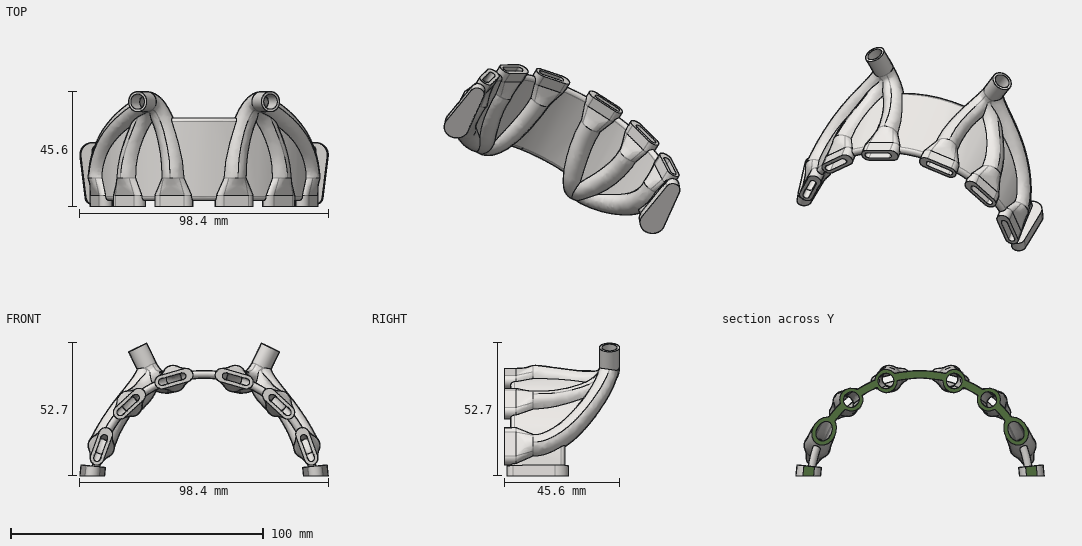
import cadquery as cq
import math

ARCH_RADIUS = 43.3
ARCH_CENTER_Z = -3.0
ARCH_THICKNESS = 3.1
ARCH_FRONT_Y = 2.4
CROWN_BACK_Y = 35.2
LEG_BACK_Y = 24.0
LEG_STEP_Z = 13.0
CROWN_STEP_Z = 28.0
ARCH_BOTTOM_Z = 1.5

FOOT_X = 44.28
FOOT_BACK_RADIUS = 4.9
FOOT_FRONT_RADIUS = 2.85
FOOT_FRONT_Y = 0.95
FOOT_BACK_Y = 25.4
FOOT_HEIGHT = 4.0
FOOT_TILT = 6.0

FIRST_PORT_ANGLE = 16.0
PORT_PITCH = 27.0
PORT_CORE = 10.05
PORT_RADIUS = 2.7
PORT_DEPTH = 4.5
SLOT_CORE = 8.6
SLOT_RADIUS = 1.3
SLOT_SHIFT = (PORT_CORE - SLOT_CORE) / 2

RUNNER_START_Y = 11.3
RUNNER_RADIAL = 5.3
RUNNER_TANGENTIAL = 4.7
RUNNER_SECTIONS = 8
TAPER_POWER = 1.5
RUNNER_PATHS = [(14.5, 12.0, 0.5), (15.5, 12.0, 1.1), (17.5, 11.0, 1.7)]
OVERLAP_TAPER = 0.15

INLET_DIAMETER = 8.0
INLET_BORE = 6.0
INLET_ANGLE = 26.0
INLET_Y = 41.58
INLET_TOP_RADIUS = 60.0
INLET_BASE_RADIUS = 51.3

Y_AXIS = cq.Vector(0, 1, 0)


def outward(angle):
    """Unit vector away from the arch axis, on the -X side."""
    turn = math.radians(angle)
    return cq.Vector(-math.sin(turn), 0, math.cos(turn))


def downhill(angle):
    """Unit vector along the arch, away from the crown on the -X side."""
    turn = math.radians(angle)
    return cq.Vector(-math.cos(turn), 0, -math.sin(turn))


def arch_point(angle, y, radius):
    return cq.Vector(0, y, ARCH_CENTER_Z) + outward(angle) * radius


def ellipse_arc(plane, half_x, half_y, start, end):
    return cq.Edge.makeEllipse(half_x, half_y, plane.origin, plane.zDir, plane.xDir, start, end)


def smooth_oval(plane, half_x, half_y):
    return cq.Wire.assembleEdges([ellipse_arc(plane, half_x, half_y, 0, 360)])


def quartered_oval(plane, half_x, half_y):
    """Oval cut on its diagonals, beginning at the lower right."""
    starts = [-45, 45, 135, 225]
    return cq.Wire.assembleEdges([ellipse_arc(plane, half_x, half_y, a, a + 90) for a in starts])


def stadium_wire(plane, core, radius, shift=0.0):
    """Slot outline along the plane's x direction, beginning at the upper right."""
    left = shift - core / 2
    right = shift + core / 2
    return (
        cq.Workplane(plane)
        .moveTo(right, radius)
        .lineTo(left, radius)
        .threePointArc((left - radius, 0), (left, -radius))
        .lineTo(right, -radius)
        .threePointArc((right + radius, 0), (right, radius))
        .close()
        .val()
    )


def port_plane(angle, y):
    """Plane facing +Y on the arch; its x direction runs down the arch."""
    return cq.Plane(origin=arch_point(angle, y, ARCH_RADIUS), xDir=downhill(angle), normal=Y_AXIS)


def cubic(p0, p1, p2, p3, t):
    """Value and slope of a cubic Bezier function."""
    s = 1 - t
    value = p0 * s**3 + 3 * p1 * s * s * t + 3 * p2 * s * t * t + p3 * t**3
    slope = 3 * ((p1 - p0) * s * s + 2 * (p2 - p1) * s * t + (p3 - p2) * t * t)
    return value, slope


def runner_planes(port_angle, path):
    """Section planes, carried without twist, along a curve that follows the arch into the inlet."""
    leaving, arriving, overlap = path
    end_radius = INLET_BASE_RADIUS + overlap
    planes = []
    x_dir = outward(port_angle)
    for i in range(RUNNER_SECTIONS):
        t = i / (RUNNER_SECTIONS - 1)
        angle, turning = cubic(port_angle, port_angle, INLET_ANGLE, INLET_ANGLE, t)
        y, advance = cubic(RUNNER_START_Y, RUNNER_START_Y + leaving, INLET_Y, INLET_Y, t)
        radius, rise = cubic(ARCH_RADIUS, ARCH_RADIUS, end_radius - arriving, end_radius, t)
        along = downhill(angle) * (radius * math.radians(turning))
        tangent = (along + Y_AXIS * advance + outward(angle) * rise).normalized()
        x_dir = (x_dir - tangent * x_dir.dot(tangent)).normalized()
        planes.append(cq.Plane(origin=arch_point(angle, y, radius), xDir=x_dir, normal=tangent))
    return planes


def loft(wires):
    """Smooth solid through the wires in turn."""
    return cq.Workplane(cq.Solid.makeLoft(wires))


def prism(wire, length):
    """Straight solid along +Y."""
    return cq.Workplane(cq.Solid.extrudeLinear(wire, [], Y_AXIS * length))


def runner_loft(oval, planes, start_x, start_y, end_radius):
    """Loft through ovals that turn into a circle, quickly at first and levelling off at the end."""
    sections = []
    for i, plane in enumerate(planes):
        remaining = (1 - i / (len(planes) - 1)) ** TAPER_POWER
        half_x = end_radius + (start_x - end_radius) * remaining
        half_y = end_radius + (start_y - end_radius) * remaining
        sections.append(oval(plane, half_x, half_y))
    return loft(sections)


def runner(angle, path):
    """Port block, transition to an oval, and the curved runner."""
    block_outline = stadium_wire(port_plane(angle, 0), PORT_CORE, PORT_RADIUS)
    block_back = stadium_wire(port_plane(angle, PORT_DEPTH), PORT_CORE, PORT_RADIUS)
    overlap = path[-1]
    planes = runner_planes(angle, path)
    oval = quartered_oval(planes[0], RUNNER_RADIAL, RUNNER_TANGENTIAL)
    end_radius = INLET_DIAMETER / 2 - OVERLAP_TAPER * overlap
    curved = runner_loft(smooth_oval, planes, RUNNER_RADIAL, RUNNER_TANGENTIAL, end_radius)
    return prism(block_outline, PORT_DEPTH).union(loft([block_back, oval])).union(curved)


def passage(angle, path):
    """Hollow inside a runner: slot, transition to round, and curved bore."""
    slot_outline = stadium_wire(port_plane(angle, 0), SLOT_CORE, SLOT_RADIUS, SLOT_SHIFT)
    slot_back = stadium_wire(port_plane(angle, PORT_DEPTH), SLOT_CORE, SLOT_RADIUS, SLOT_SHIFT)
    overlap = path[-1]
    planes = runner_planes(angle, path)
    bore = INLET_BORE / 2
    circle = quartered_oval(planes[0], bore, bore)
    curved = runner_loft(quartered_oval, planes, bore, bore, bore - OVERLAP_TAPER * overlap)
    return prism(slot_outline, PORT_DEPTH).union(loft([slot_back, circle])).union(curved)


def inlet(diameter):
    base = arch_point(INLET_ANGLE, INLET_Y, INLET_BASE_RADIUS)
    plane = cq.Plane(origin=base, xDir=Y_AXIS, normal=outward(INLET_ANGLE))
    return cq.Workplane(plane).circle(diameter / 2).extrude(INLET_TOP_RADIUS - INLET_BASE_RADIUS)


def arch_sheet(back_y):
    """Full ring with full-round front and rear edges."""
    half = ARCH_THICKNESS / 2
    inner = ARCH_RADIUS - half
    outer = ARCH_RADIUS + half
    axis_plane = cq.Plane(origin=(0, 0, ARCH_CENTER_Z), xDir=(1, 0, 0), normal=(0, 0, 1))
    return (
        cq.Workplane(axis_plane)
        .moveTo(inner, ARCH_FRONT_Y + half)
        .threePointArc((ARCH_RADIUS, ARCH_FRONT_Y), (outer, ARCH_FRONT_Y + half))
        .lineTo(outer, back_y - half)
        .threePointArc((ARCH_RADIUS, back_y), (inner, back_y - half))
        .close()
        .revolve(360, (0, 0, 0), (0, 1, 0))
    )


def half_arch():
    """-X half of the sheet: long at the crown, short at the legs, with a sloping edge between."""
    reach = 2 * ARCH_RADIUS
    crown_zone = (
        cq.Workplane("YZ")
        .moveTo(0, LEG_STEP_Z)
        .lineTo(LEG_BACK_Y, LEG_STEP_Z)
        .lineTo(CROWN_BACK_Y, CROWN_STEP_Z)
        .lineTo(CROWN_BACK_Y, reach)
        .lineTo(0, reach)
        .close()
        .extrude(-reach)
    )
    above_feet = cq.Workplane().box(reach, reach, reach, centered=False).translate((-reach, 0, ARCH_BOTTOM_Z))
    crown = arch_sheet(CROWN_BACK_Y).intersect(crown_zone)
    legs = arch_sheet(LEG_BACK_Y).intersect(above_feet)
    return crown.union(legs)


def foot():
    """Tapered pad round two circles, leaning to the middle and cut level underneath."""
    front_y = FOOT_FRONT_Y + FOOT_FRONT_RADIUS
    back_y = FOOT_BACK_Y - FOOT_BACK_RADIUS
    taper = math.asin((FOOT_BACK_RADIUS - FOOT_FRONT_RADIUS) / (back_y - front_y))
    front_x = FOOT_FRONT_RADIUS * math.cos(taper)
    front_tangent_y = front_y - FOOT_FRONT_RADIUS * math.sin(taper)
    back_x = FOOT_BACK_RADIUS * math.cos(taper)
    back_tangent_y = back_y - FOOT_BACK_RADIUS * math.sin(taper)
    pad = (
        cq.Workplane("XY")
        .moveTo(-front_x, front_tangent_y)
        .threePointArc((0, FOOT_FRONT_Y), (front_x, front_tangent_y))
        .lineTo(back_x, back_tangent_y)
        .threePointArc((0, FOOT_BACK_Y), (-back_x, back_tangent_y))
        .close()
        .extrude(FOOT_HEIGHT, both=True)
        .rotate((0, 0, 0), (0, 1, 0), FOOT_TILT)
    )
    width = 4 * FOOT_BACK_RADIUS
    above_ground = cq.Workplane().box(width, 2 * FOOT_BACK_Y, width, centered=(True, True, False))
    return pad.intersect(above_ground).translate((-FOOT_X, 0, 0))


def half_manifold():
    """The -X half of the part with its passages cut."""
    body = half_arch().union(foot()).union(inlet(INLET_DIAMETER))
    hollows = [inlet(INLET_BORE)]
    for i, path in enumerate(RUNNER_PATHS):
        angle = FIRST_PORT_ANGLE + i * PORT_PITCH
        body = body.union(runner(angle, path))
        hollows.append(passage(angle, path))
    for hollow in hollows:
        body = body.cut(hollow)
    return body


half = half_manifold()
result = half.union(half.mirror("YZ"))